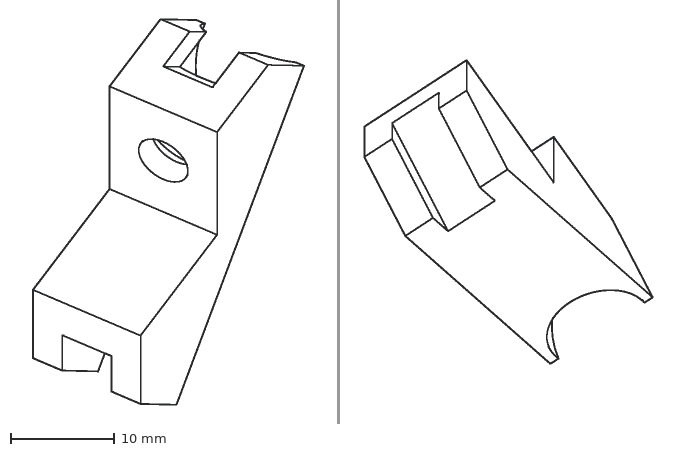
import cadquery as cq

width = 12.0
overall = 32.07
leg_end = 10.0
leg_inside = 15.0
slot_width = 5.5
slot_edge = 4.8
hole_diameter = 5.5
head_diameter = 10.1
hole_length = 2.6

ledge = overall - leg_inside
tip = ledge - leg_end
shoulder = leg_inside + leg_end
hole_z = ledge + leg_inside / 2
countersink_start = leg_inside + hole_length
countersink_depth = (head_diameter - hole_diameter) / 2
head_start = countersink_start + countersink_depth


def make_bracket():
    """Extrude the L-shaped profile with a diagonal back and sloped ends."""
    profile = [
        (0, tip),
        (0, ledge),
        (leg_inside, ledge),
        (leg_inside, overall),
        (shoulder, overall),
        (overall, shoulder),
        (tip, 0),
    ]
    return cq.Workplane("YZ").polyline(profile).close().extrude(width / 2, both=True)


def end_slot(first, second, end_corner):
    """Central slot between a 45-degree floor line and the corner beyond the end."""
    outline = [first, second, end_corner]
    return cq.Workplane("YZ").polyline(outline).close().extrude(slot_width / 2, both=True)


def bolt_plane(y):
    """Plane across the bolt axis, facing the back."""
    return cq.Plane(origin=(0, y, hole_z), xDir=(1, 0, 0), normal=(0, 1, 0))


def cylinder_along_y(diameter, start):
    """Cylinder on the bolt axis, running from Y = start out of the back."""
    return cq.Workplane(bolt_plane(start)).circle(diameter / 2).extrude(overall - start)


def countersink():
    """Cone joining the bolt hole to the head clearance."""
    return (
        cq.Workplane(bolt_plane(countersink_start))
        .circle(hole_diameter / 2)
        .workplane(offset=countersink_depth)
        .circle(head_diameter / 2)
        .loft(ruled=True)
    )


lower_slot_edge = ledge - slot_edge
upper_slot_edge = leg_inside + slot_edge

result = (
    make_bracket()
    .cut(end_slot((0, lower_slot_edge), (lower_slot_edge, 0), (0, 0)))
    .cut(end_slot((upper_slot_edge, overall), (overall, upper_slot_edge), (overall, overall)))
    .cut(cylinder_along_y(hole_diameter, 0))
    .cut(countersink())
    .cut(cylinder_along_y(head_diameter, head_start))
)